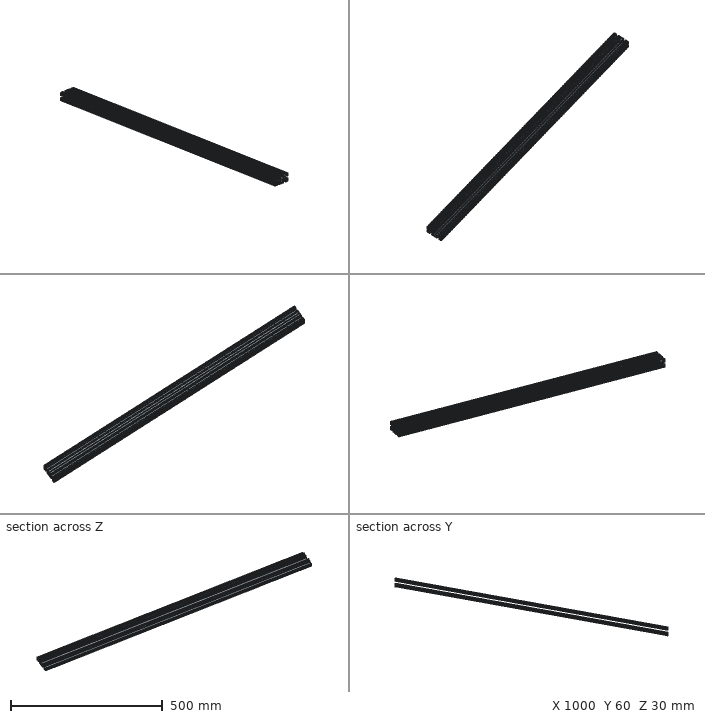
import cadquery as cq
import math

length = 1000.0
cell = 30.0
cell_count = 2
corner_radius = 2.0
slot_opening = 8.0
lip_overhang = 4.2
lip_thickness = 2.2
lip_radius = 1.0
core_width = 11.0
bore_diameter = 8.5
web_thickness = 2.0
cavity_width = 16.0
wall_thickness = 2.5
corner_hollow_width = 3.5
corner_hollow_inset = 3.5

half_cell = cell / 2
profile_width = cell * cell_count
cell_centers = (-half_cell, half_cell)
web_shift = web_thickness / math.sqrt(2)


def extrude_centered(profile):
    """Extrude a YZ profile along X over the whole length."""
    return profile.extrude(length / 2, both=True)


def make_body():
    """Solid bar with rounded long corners."""
    return cq.Workplane("XY").box(length, profile_width, cell).edges("|X").fillet(corner_radius)


def make_slot():
    """T-slot cutter for a cell on the origin, opening toward +Z with rounded lips."""
    half_opening = slot_opening / 2
    half_inner = half_opening + lip_overhang
    half_mouth = half_opening + lip_radius
    lip_z = half_cell - lip_thickness
    mouth_z = half_cell - lip_radius
    floor_z = core_width / 2
    half_floor = floor_z - web_shift
    arc_inset = lip_radius * (1 - math.sqrt(0.5))
    arc_y = half_opening + arc_inset
    arc_z = half_cell - arc_inset

    profile = (
        cq.Workplane("YZ")
        .moveTo(-half_floor, floor_z)
        .lineTo(half_floor, floor_z)
        .lineTo(half_inner, half_inner + web_shift)
        .lineTo(half_inner, lip_z)
        .lineTo(half_opening, lip_z)
        .lineTo(half_opening, mouth_z)
        .threePointArc((arc_y, arc_z), (half_mouth, half_cell))
        .lineTo(-half_mouth, half_cell)
        .threePointArc((-arc_y, arc_z), (-half_opening, mouth_z))
        .lineTo(-half_opening, lip_z)
        .lineTo(-half_inner, lip_z)
        .lineTo(-half_inner, half_inner + web_shift)
        .close()
    )
    return extrude_centered(profile)


def make_bores():
    """Round bore through the core of each cell."""
    bore_points = [(center, 0) for center in cell_centers]
    return extrude_centered(cq.Workplane("YZ").pushPoints(bore_points).circle(bore_diameter / 2))


def make_cavity():
    """Middle hollow whose sloped sides follow the diagonal webs."""
    half_width = cavity_width / 2
    top_z = half_cell - wall_thickness
    slope_sum = half_cell - web_shift
    half_end = slope_sum - top_z
    shoulder_z = slope_sum - half_width
    upper = [
        (half_width, shoulder_z),
        (half_end, top_z),
        (-half_end, top_z),
        (-half_width, shoulder_z),
    ]
    lower = [(-y, -z) for y, z in upper]
    return extrude_centered(cq.Workplane("YZ").polyline(upper + lower).close())


def make_corner_hollows():
    """Square hollows inside the four outer corners."""
    centers = cq.Workplane("YZ").rect(
        profile_width - 2 * corner_hollow_inset,
        cell - 2 * corner_hollow_inset,
        forConstruction=True,
    ).vertices()
    return extrude_centered(centers.rect(corner_hollow_width, corner_hollow_width))


result = make_body()

slot = make_slot()
for center in cell_centers:
    outward_angle = math.copysign(90, -center)
    for angle in (0, 180, outward_angle):
        turned_slot = slot.rotate((0, 0, 0), (1, 0, 0), angle)
        result = result.cut(turned_slot.translate((0, center, 0)))

result = result.cut(make_bores())
result = result.cut(make_cavity())
result = result.cut(make_corner_hollows())